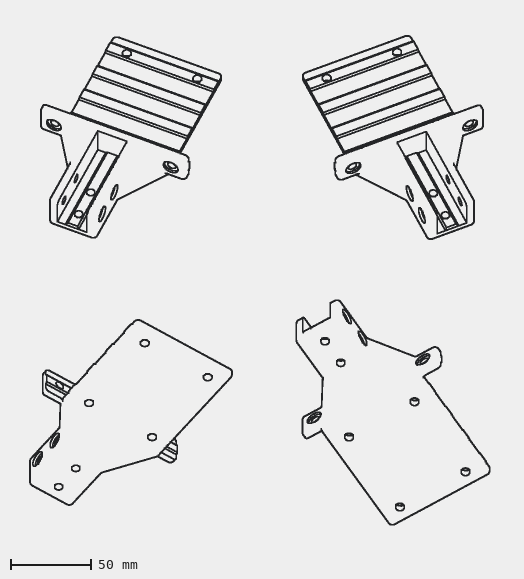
import cadquery as cq

length = 147.0
height = 25.6

edge_radius = 3.0
join_radius = 1.9

margin = 0.1

flange_width = 100.0
flange_height = 20.6
flange_back = 66.7
flange_front = 61.3
flange_bottom = height - flange_height
flange_middle = flange_bottom + flange_height / 2

plate_width = 74.1
plate_thickness = 5.5

body_width = 32.3
flare_start = 33.8
flare_end = 65.0

channel_width = 20.0
channel_back = 61.5
floor_thickness = 5.9

ridge_base = 9.1
ridge_top = 6.6
ridge_height = 1.0
ridge_slope = (ridge_base - ridge_top) / 2
ridge_pitch = 20.0
ridge_count = 4
last_ridge = 137.0

screw_hole = 5.5
plate_hole_x = 24.1
flange_hole_x = 40.0
floor_hole = 5.1
floor_hole_ys = (10.1, 28.7)
wall_hole = 5.3
wall_hole_ys = (10.1, 28.7)
wall_hole_z = 15.9
counterbore = 10.0
flange_counterbore_depth = 1.5
wall_counterbore_depth = 1.9


def box(x0, x1, y0, y1, z0, z1):
    """Axis-aligned box between two opposite corners."""
    return cq.Workplane("XY").box(x1 - x0, y1 - y0, z1 - z0, centered=False).translate((x0, y0, z0))


def rod(diameter, start, direction, depth):
    """Cylinder growing from a start point along a direction."""
    return cq.Workplane(
        cq.Solid.makeCylinder(diameter / 2, depth, cq.Vector(*start), cq.Vector(*direction))
    )


def blank():
    """Plate, flared body and flange joined, with all edges still sharp."""
    half_body = body_width / 2
    half_plate = plate_width / 2
    half_flange = flange_width / 2
    body = (
        cq.Workplane("XY")
        .polyline([
            (-half_body, 0),
            (half_body, 0),
            (half_body, flare_start),
            (half_plate, flare_end),
            (half_plate, flange_back),
            (-half_plate, flange_back),
            (-half_plate, flare_end),
            (-half_body, flare_start),
        ])
        .close()
        .extrude(height)
    )
    plate = box(-half_plate, half_plate, flange_back, length, 0, plate_thickness)
    flange = box(-half_flange, half_flange, flange_front, flange_back, flange_bottom, height)
    return body.union(plate).union(flange)


def near(solid, corner, opposite, mirrored=True):
    """Edges whose centres lie in a box, and in its mirror image across X = 0."""
    found = solid.edges(cq.selectors.BoxSelector(corner, opposite))
    if mirrored:
        mirror_corner = (-corner[0], *corner[1:])
        mirror_opposite = (-opposite[0], *opposite[1:])
        found = found.add(solid.edges(cq.selectors.BoxSelector(mirror_corner, mirror_opposite)))
    return found


def round_edges(solid):
    """Round the blank: flare corners, outer edges, then the inner corners under the flange ends."""
    half_plate = plate_width / 2
    half_flange = flange_width / 2
    ahead_of_back = flange_back - margin

    flare_corner = near(
        solid,
        (half_plate - margin, flare_end - margin, margin),
        (half_plate + margin, flare_end + margin, flange_bottom - margin),
    )
    solid = flare_corner.fillet(join_radius)

    channel_corners = near(solid, (0, -margin, margin), (body_width, flare_start + margin, height - margin))
    flange_edges = near(
        solid,
        (half_plate + margin, flange_front - margin, 0),
        (half_flange + margin, ahead_of_back, height + margin),
    )
    top_edges = near(
        solid,
        (-half_flange, -margin, height - margin),
        (half_flange, ahead_of_back, height + margin),
        mirrored=False,
    )
    far_corners = solid.edges("|Z and >Y")
    underside = solid.faces("<Z").edges()
    outer = channel_corners.add(flange_edges).add(top_edges).add(far_corners).add(underside)
    solid = outer.fillet(edge_radius)

    inner_corners = near(
        solid,
        (body_width, flange_front - margin, flange_bottom - margin),
        (half_plate + margin, ahead_of_back, height - edge_radius - margin),
    )
    return inner_corners.fillet(join_radius)


def ridge(run):
    """Ridge of trapezoidal section along X, centred on the origin, rising along Z from Z = 0."""
    return (
        cq.Workplane("YZ")
        .polyline([
            (-ridge_base / 2, 0),
            (ridge_base / 2, 0),
            (ridge_top / 2, ridge_height),
            (-ridge_top / 2, ridge_height),
        ])
        .close()
        .extrude(run / 2, both=True)
    )


def plate_ridges():
    """Evenly spaced ridges across the top of the plate."""
    ridges = cq.Workplane("XY")
    for index in range(ridge_count):
        y = last_ridge - index * ridge_pitch
        ridges = ridges.add(ridge(plate_width).translate((0, y, plate_thickness)))
    return ridges.combine()


def flange_ridge():
    """Ridge along the back face of the flange."""
    turned = ridge(flange_width).rotate((0, 0, 0), (1, 0, 0), -90)
    return turned.translate((0, flange_back, flange_middle))


def channel_ridge():
    """Ridge along the channel floor, with its front end sloped like its sides."""
    turned = ridge(channel_back).rotate((0, 0, 0), (0, 0, 1), 90)
    placed = turned.translate((0, channel_back / 2, floor_thickness))
    front_slope = (
        cq.Workplane("YZ")
        .polyline([
            (0, floor_thickness),
            (ridge_slope, floor_thickness + ridge_height),
            (0, floor_thickness + ridge_height),
        ])
        .close()
        .extrude(ridge_base / 2, both=True)
    )
    return placed.cut(front_slope)


def channel():
    """Space of the channel above its floor."""
    half = channel_width / 2
    return box(-half, half, 0, channel_back, floor_thickness, height)


def plate_holes():
    """Holes through the first and the last plate ridge."""
    first_ridge = last_ridge - (ridge_count - 1) * ridge_pitch
    holes = cq.Workplane("XY")
    for x in (-plate_hole_x, plate_hole_x):
        for y in (first_ridge, last_ridge):
            holes = holes.add(rod(screw_hole, (x, y, 0), (0, 0, 1), height))
    return holes.combine()


def flange_holes():
    """Holes through the flange ends, counterbored from the front."""
    holes = cq.Workplane("XY")
    for x in (-flange_hole_x, flange_hole_x):
        start = (x, flange_front - edge_radius, flange_middle)
        holes = holes.add(rod(screw_hole, start, (0, 1, 0), length))
        holes = holes.add(rod(counterbore, start, (0, 1, 0), edge_radius + flange_counterbore_depth))
    return holes.combine()


def channel_holes():
    """Holes through the channel floor, and through both walls with outside counterbores."""
    holes = cq.Workplane("XY")
    for y in floor_hole_ys:
        holes = holes.add(rod(floor_hole, (0, y, 0), (0, 0, 1), height))
    half_body = body_width / 2
    for y in wall_hole_ys:
        holes = holes.add(rod(wall_hole, (-half_body, y, wall_hole_z), (1, 0, 0), body_width))
        for side in (-1, 1):
            start = (side * half_body, y, wall_hole_z)
            holes = holes.add(rod(counterbore, start, (-side, 0, 0), wall_counterbore_depth))
    return holes.combine()


result = (
    round_edges(blank())
    .cut(channel())
    .union(plate_ridges())
    .union(flange_ridge())
    .union(channel_ridge())
    .cut(plate_holes())
    .cut(flange_holes())
    .cut(channel_holes())
)